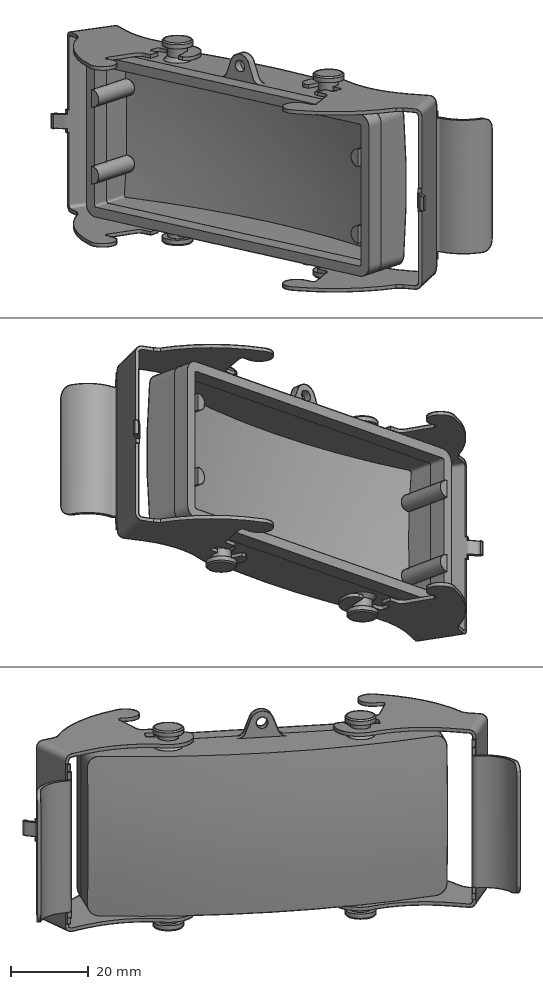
import cadquery as cq
import math

overall_length = 126.5
lever_tip_y = 30.2

cover_half_length = 47.0
cover_half_height = 21.6
wall = 2.7
wall_overlap = wall / 2
corner_radius = 3.0
cavity_corner_radius = 0.6
frame_depth = 4.9
dome_top = 21.2
dome_radius = 183.4

rib_radius = 4.7 / 2
rib_z = 10.2
rib_projection = 1.1

tab_thickness = 2.3
tab_top = 28.7
tab_tip_radius = 3.2
tab_hole_diameter = 3.0
tab_base_half_width = 4.9
tab_root_fillet = 2.1

pin_x = 25.2
pin_y = 10.2
pin_end = 27.1
shank_radius = 5.2 / 2
foot_radius = 7.2 / 2
foot_height = 1.1
head_radius = 8.0 / 2
head_thickness = 1.5
head_chamfer = 0.4

sheet = 0.95
lever_half_height = 48.2 / 2
bend_radius = 1.9
plate_lean = 23.4
plate_length = 13.4
plate_foot = (59.0, 6.8)
arm_reach = 75.9

hook_centre = (24.9, 9.4)
hook_radius = 6.5
latch_centre = (32.4, -11.3)
latch_radius = 3.7
notch_x = 30.6
notch_top = 9.0
notch_bottom = 5.6
notch_fillet = 0.6
step_x = 31.4
step_bottom = 2.5
step_fillet = 1.9
throat_x = 34.8
throat_top = -6.3

saddle = [(47.2, 16.2), (36.9, 13.9), (27.6, 15.3)]
hook_crest_angle = 127.0
finger_bend = (18.8, 7.3)
finger_tip = [(20.2, 6.3), (21.6, 6.3)]
latch_back = (34.3, -14.4)
belly = [(44.3, -8.1), (53.0, 3.8)]
elbow = (54.4, 4.9)

seat_length = 0.8
seat_half_height = 21.6
handle_half_height = 17.8
handle_corner_radius = 3.2
neck_radius = 1.0
shoulder_half_height = 19.7
shoulder_turn = 40.0

tongue_half_width = 1.9
tongue_radius = 0.8
tongue_turn = 38.0
tongue_length = 2.1
lip_turn = 50.0
lip_length = 0.5
tongue_root_half_width = 3.0
tongue_root_length = 0.5


def block(x_min, x_max, y_min, y_max, half_height):
    """A box that is symmetric about Z = 0."""
    size = (x_max - x_min, y_max - y_min, 2 * half_height)
    centre = ((x_min + x_max) / 2, (y_min + y_max) / 2, 0)
    return cq.Workplane("XY").box(*size).translate(centre)


def rounded_bar(half_length, half_height, radius, y_min, y_max):
    """A rectangle with rounded corners in XZ, drawn out along Y."""
    return block(-half_length, half_length, y_min, y_max, half_height).edges("|Y").fillet(radius)


def cavity(y_min, y_max):
    """The space inside the walls, between two depths."""
    return rounded_bar(
        cover_half_length - wall, cover_half_height - wall, cavity_corner_radius, y_min, y_max
    )


def dome(offset):
    """The ball whose cap shapes the back of the cover, shrunk by offset."""
    return cq.Workplane("XY").sphere(dome_radius - offset).translate((0, dome_top - dome_radius, 0))


def make_frame():
    """The sealing rim around the open face of the cavity."""
    outside = rounded_bar(cover_half_length, cover_half_height, corner_radius, 0, frame_depth)
    return outside.cut(cavity(0, frame_depth))


def make_rib(x_side, z_side):
    """A half-round bar on an end wall, from the dome to just in front of the frame."""
    wall_x = x_side * (cover_half_length - wall)
    bar = (
        cq.Workplane("XZ", origin=(wall_x, -rib_projection, z_side * rib_z))
        .circle(rib_radius)
        .extrude(-dome_top - rib_projection)
    )
    return bar.intersect(cavity(-rib_projection, dome_top)).intersect(dome(wall_overlap))


def make_tab():
    """A tapered tab whose straight edges are tangent to its round tip, and the tip's centre height.

    Its foot is sunk into the top wall.
    """
    tip_z = tab_top - tab_tip_radius
    rise = tip_z - cover_half_height
    root_angle = math.atan2(rise, tab_base_half_width)
    edge_angle = root_angle + math.asin(tab_tip_radius / math.hypot(rise, tab_base_half_width))
    tangent_x = tab_tip_radius * math.sin(edge_angle)
    tangent_z = tip_z + tab_tip_radius * math.cos(edge_angle)
    tab = (
        cq.Workplane("XZ", origin=(0, frame_depth, 0))
        .moveTo(tab_base_half_width, cover_half_height)
        .lineTo(tangent_x, tangent_z)
        .threePointArc((0, tab_top), (-tangent_x, tangent_z))
        .lineTo(-tab_base_half_width, cover_half_height)
        .lineTo(-tab_base_half_width, cover_half_height - wall_overlap)
        .lineTo(tab_base_half_width, cover_half_height - wall_overlap)
        .close()
        .extrude(-tab_thickness)
    )
    return tab, tip_z


def make_pin(x_side, z_side):
    """A headed pin with a flared foot, turned about Z and standing on a long wall."""
    foot_z = cover_half_height
    head_z = pin_end - head_thickness
    pin = (
        cq.Workplane("XZ")
        .moveTo(0, foot_z - wall_overlap)
        .lineTo(foot_radius, foot_z - wall_overlap)
        .lineTo(foot_radius, foot_z)
        .lineTo(shank_radius, foot_z + foot_height)
        .lineTo(shank_radius, head_z)
        .lineTo(head_radius, head_z)
        .lineTo(head_radius, pin_end - head_chamfer)
        .lineTo(head_radius - head_chamfer, pin_end)
        .lineTo(0, pin_end)
        .close()
        .revolve(360, (0, 0, 0), (0, 1, 0))
    )
    if z_side < 0:
        pin = pin.mirror("XY")
    return pin.translate((x_side * pin_x, pin_y, 0))


def make_cover():
    """The domed shell with its hanging tab, guide ribs and bearing pins."""
    outside = rounded_bar(
        cover_half_length, cover_half_height, corner_radius, frame_depth, dome_top
    ).intersect(dome(0))
    inside = cavity(frame_depth, dome_top).intersect(dome(wall))
    cover = outside.cut(inside)
    tab, tip_z = make_tab()
    cover = cover.union(tab)
    for x_side in (1, -1):
        root_point = (x_side * tab_base_half_width, frame_depth + tab_thickness / 2, cover_half_height)
        root = cq.selectors.NearestToPointSelector(root_point)
        cover = cover.edges("|Y").edges(root).fillet(tab_root_fillet)
    hole = (
        cq.Workplane("XZ", origin=(0, frame_depth, tip_z))
        .circle(tab_hole_diameter / 2)
        .extrude(-tab_thickness)
    )
    cover = cover.cut(hole)
    for x_side in (1, -1):
        for z_side in (1, -1):
            cover = cover.union(make_rib(x_side, z_side))
            cover = cover.union(make_pin(x_side, z_side))
    return cover


def on_plate(depth, along):
    """The XY point at a depth inside the plate's outer face and a distance along it."""
    lean = math.radians(plate_lean)
    return (
        plate_foot[0] - depth * math.cos(lean) - along * math.sin(lean),
        plate_foot[1] - depth * math.sin(lean) + along * math.cos(lean),
    )


def bent_strip(start, heading, moves, half_height):
    """Sheet of constant thickness along a path of straight and bend moves.

    A move is ("straight", length) or ("bend", radius, angle), with left turns positive.
    """
    x, y = start
    angle = math.radians(heading)
    sides = {1: [], -1: []}

    def edge_point(px, py, direction, side):
        offset = side * sheet / 2
        return (px - offset * math.sin(direction), py + offset * math.cos(direction))

    first = {side: edge_point(x, y, angle, side) for side in sides}
    for move in moves:
        if move[0] == "straight":
            x += move[1] * math.cos(angle)
            y += move[1] * math.sin(angle)
            for side, path in sides.items():
                path.append((None, edge_point(x, y, angle, side)))
            continue
        turn = math.radians(move[2])
        radius = math.copysign(move[1], turn)
        centre_x = x - radius * math.sin(angle)
        centre_y = y + radius * math.cos(angle)
        stations = []
        for direction in (angle + turn / 2, angle + turn):
            stations.append(
                (centre_x + radius * math.sin(direction), centre_y - radius * math.cos(direction))
            )
        for side, path in sides.items():
            path.append(
                (
                    edge_point(*stations[0], angle + turn / 2, side),
                    edge_point(*stations[1], angle + turn, side),
                )
            )
        x, y = stations[1]
        angle += turn

    strip = cq.Workplane("XY", origin=(0, 0, -half_height)).moveTo(*first[1])
    for middle, end in sides[1]:
        strip = strip.lineTo(*end) if middle is None else strip.threePointArc(middle, end)
    strip = strip.lineTo(*sides[-1][-1][1])
    starts = [first[-1]] + [end for _, end in sides[-1][:-1]]
    for (middle, _), end in zip(reversed(sides[-1]), reversed(starts)):
        strip = strip.lineTo(*end) if middle is None else strip.threePointArc(middle, end)
    return strip.close().extrude(2 * half_height)


def make_channel():
    """The bent sheet before its outline is cut: an upright plate and two long arms."""
    outer = block(-arm_reach, 0, -arm_reach, arm_reach, lever_half_height)
    outer = outer.edges(">X and |Y").fillet(bend_radius)
    inner = block(-arm_reach, -sheet, -arm_reach, arm_reach, lever_half_height - sheet)
    inner = inner.edges(">X and |Y").fillet(bend_radius - sheet)
    channel = outer.cut(inner).rotate((0, 0, 0), (0, 0, 1), plate_lean)
    return channel.translate((*plate_foot, 0))


def make_arm_outline():
    """The outline shared by both arms, from the plate round the hook and the latch."""
    hook_x, hook_y = hook_centre
    latch_x, latch_y = latch_centre
    crest_angle = math.radians(hook_crest_angle)
    hook_crest = (
        hook_x + hook_radius * math.cos(crest_angle),
        hook_y + hook_radius * math.sin(crest_angle),
    )
    mouth_x = pin_x + shank_radius
    outline = (
        cq.Workplane("XY", origin=(0, 0, -lever_half_height))
        .moveTo(*on_plate(0, plate_length))
        .lineTo(*on_plate(bend_radius, plate_length))
        .lineTo(*saddle[0])
        .threePointArc(*saddle[1:])
        .threePointArc(hook_crest, (hook_x - hook_radius, hook_y))
        .threePointArc(finger_bend, finger_tip[0])
        .lineTo(*finger_tip[1])
        .lineTo(pin_x - shank_radius, pin_y)
        .threePointArc((pin_x, pin_y + shank_radius), (mouth_x, pin_y))
        .lineTo(mouth_x, notch_top)
        .lineTo(notch_x, notch_top)
        .lineTo(notch_x, notch_bottom)
        .lineTo(mouth_x, notch_bottom)
        .lineTo(mouth_x, step_bottom)
        .lineTo(step_x, step_bottom)
        .lineTo(throat_x, throat_top)
        .lineTo(throat_x, latch_y + latch_radius)
        .lineTo(latch_x, latch_y + latch_radius)
        .threePointArc((latch_x - latch_radius, latch_y), latch_back)
        .threePointArc(*belly)
        .lineTo(*elbow)
        .lineTo(*on_plate(bend_radius, 0))
        .lineTo(*on_plate(0, 0))
        .close()
        .extrude(2 * lever_half_height)
    )
    rounded_corners = [
        ((notch_x, notch_top), notch_fillet),
        ((notch_x, notch_bottom), notch_fillet),
        ((step_x, step_bottom), step_fillet),
        ((throat_x, latch_y + latch_radius), notch_fillet),
    ]
    for (corner_x, corner_y), radius in rounded_corners:
        corner = cq.selectors.NearestToPointSelector((corner_x, corner_y, 0))
        outline = outline.edges("|Z").edges(corner).fillet(radius)
    return outline


def place_on_side(shape, x_side):
    """The shape itself for the +X side, or its mirror image for the -X side."""
    return shape if x_side > 0 else shape.mirror("YZ")


def make_handle(x_side):
    """A finger grip standing on the plate's end: a wide seat, a tight neck and a long arc.

    The arc leaves the neck tangentially and ends at the tip, pointing along +Y.
    """
    seat = on_plate(sheet / 2, plate_length)
    neck = on_plate(sheet / 2, plate_length + seat_length)
    neck_centre = on_plate(sheet / 2 - neck_radius, plate_length + seat_length)
    plate_heading = 90 + plate_lean

    span_x = overall_length / 2 - sheet / 2 - neck_centre[0]
    span_y = lever_tip_y - neck_centre[1]
    grip_radius = (span_x**2 + span_y**2 - neck_radius**2) / (2 * (span_x + neck_radius))
    grip_heading = math.degrees(math.atan2(grip_radius - span_x, span_y))

    handle = bent_strip(seat, plate_heading, [("straight", seat_length)], seat_half_height)
    shoulder = [("bend", neck_radius, -shoulder_turn)]
    handle = handle.union(bent_strip(neck, plate_heading, shoulder, shoulder_half_height))
    grip = [
        ("bend", neck_radius, grip_heading - plate_heading),
        ("bend", grip_radius, 90 - grip_heading),
    ]
    blade = bent_strip(neck, plate_heading, grip, handle_half_height)
    trim = block(0, overall_length, 0, lever_tip_y, handle_half_height)
    blade = blade.intersect(trim.edges(">Y and |X").fillet(handle_corner_radius))
    return place_on_side(handle.union(blade), x_side)


def make_tongue():
    """A small tail that kicks outward from a wider root and ends in a turned-down lip."""
    foot = on_plate(sheet / 2, 0)
    root_end = on_plate(sheet / 2, -tongue_root_length)
    heading = plate_lean - 90
    root = bent_strip(foot, heading, [("straight", tongue_root_length)], tongue_root_half_width)
    moves = [
        ("bend", tongue_radius, tongue_turn),
        ("straight", tongue_length),
        ("bend", tongue_radius, -lip_turn),
        ("straight", lip_length),
    ]
    return root.union(bent_strip(root_end, heading, moves, tongue_half_width))


def make_lever(x_side):
    """A plate with a hooked arm at each end and a tongue on its near edge."""
    lever = make_channel().intersect(make_arm_outline()).union(make_tongue())
    return place_on_side(lever, x_side)


frame = make_frame()
cover = make_cover()
levers = [make_lever(x_side) for x_side in (1, -1)]
handles = [make_handle(x_side) for x_side in (1, -1)]

result = cq.Compound.makeCompound(
    [
        frame.val(),
        cover.val(),
        *[lever.val() for lever in levers],
        *[handle.val() for handle in handles],
    ]
)